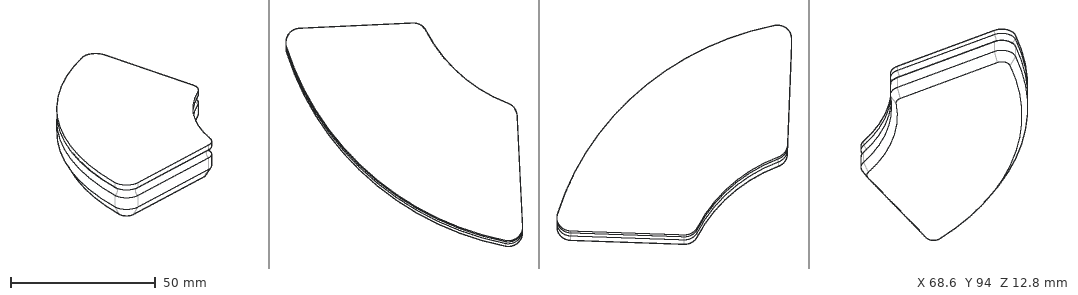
import cadquery as cq
import math

outer_radius = 100.0
inner_radius = 53.0
side_offset = 18.5
middle_angle = 210
half_angle = 45
corner_radius = 5.0

thickness = 12.8
chamfer_height = 3.5
chamfer_angle = 30
groove_bottom = 7.9
groove_top = 10.9
groove_depth = 1.0


def side_point(radius, side):
    """Point where a straight side (side = -1 or 1) meets an arc of the segment."""
    angle = math.radians(middle_angle + side * half_angle) - side * math.asin(side_offset / radius)
    return radius * math.cos(angle), radius * math.sin(angle)


def middle_point(radius):
    """Point of an arc on the symmetry line."""
    angle = math.radians(middle_angle)
    return radius * math.cos(angle), radius * math.sin(angle)


def rounded_outline():
    """Outline of the segment in the XY plane, with rounded corners."""
    sharp_segment = (
        cq.Workplane("XY")
        .moveTo(*side_point(outer_radius, -1))
        .threePointArc(middle_point(outer_radius), side_point(outer_radius, 1))
        .lineTo(*side_point(inner_radius, 1))
        .threePointArc(middle_point(inner_radius), side_point(inner_radius, -1))
        .close()
        .extrude(thickness)
    )
    rounded_segment = sharp_segment.edges("|Z").fillet(corner_radius)
    return rounded_segment.faces("<Z").wires().val()


def make_body(outline):
    """Plate with a tapered band around its bottom edge."""
    plate = cq.Workplane("XY").add(outline).toPending().extrude(thickness)
    chamfer_inset = chamfer_height * math.tan(math.radians(chamfer_angle))
    return plate.faces("<Z").edges().chamfer(chamfer_height, chamfer_inset)


def make_groove(outline):
    """Rounded groove cutter that runs all the way around the edge."""
    groove_middle = (groove_bottom + groove_top) / 2
    half_width = (groove_top - groove_bottom) / 2
    arc_radius = (half_width**2 + groove_depth**2) / (2 * groove_depth)
    path = outline.moved(cq.Location(cq.Vector(0, 0, groove_middle)))

    start = cq.Vector(*middle_point(outer_radius), groove_middle)
    outward = start - cq.Vector(0, 0, groove_middle)
    tangent = cq.Vector(0, 0, 1).cross(outward)
    centre = start + outward.normalized() * (arc_radius - groove_depth)
    section = cq.Workplane(cq.Plane(origin=centre, xDir=outward, normal=tangent)).circle(arc_radius)
    return section.sweep(cq.Workplane("XY").add(path))


outline = rounded_outline()
result = make_body(outline).cut(make_groove(outline))